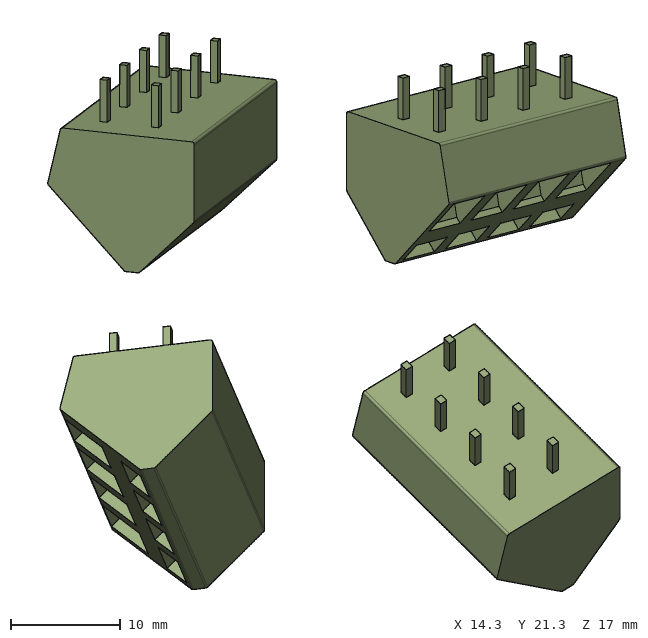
import cadquery as cq
import math

length = 21.32
body_height = 13.0
body_width = 14.26
nose_left = 7.5
nose_right = 8.87
side_lean = 13.2
edge_radius = 0.25
underside_angle = 45.0

pole_count = 4
pole_pitch = 5.07
first_pole_inset = 2.55
pole_positions = [length / 2 - first_pole_inset - i * pole_pitch for i in range(pole_count)]

pin_size_x = 0.7
pin_size_y = 0.8
pin_height = 3.99
pin_columns = (4.26, 9.25)

pocket_width = 3.7
pocket_depth = 2.8
wire_low, wire_high = 0.36, 2.17
release_low, release_high = 3.95, 7.38
ledge_rise = 0.45
lever_top = 6.33

lean_slope = math.tan(math.radians(side_lean))


def mouth_point(height):
    """Point of the left underside at a height, in X and Z."""
    return (nose_left - height, height)


def floor_point(height):
    """Point of the pocket floor straight in from the mouth at a height."""
    x, z = mouth_point(height)
    step = pocket_depth * math.sin(math.radians(underside_angle))
    return (x + step, z + step)


def prism(points, width, y_center):
    """Prism of an XZ outline, centred on a Y position."""
    sketch = cq.Workplane("XZ", origin=(0, y_center, 0)).polyline(points).close()
    return sketch.extrude(width / 2, both=True)


def make_body():
    half_turn = math.radians(side_lean + underside_angle) / 2
    bisector_tilt = math.radians(underside_angle - side_lean) / 2
    arc_center_to_corner = edge_radius / math.cos(half_turn)
    corner_x = edge_radius - arc_center_to_corner * math.cos(bisector_tilt)
    corner_z = nose_left - corner_x
    outline = [
        (corner_x, corner_z),
        (nose_left, 0),
        (nose_right, 0),
        (body_width, body_width - nose_right),
        (body_width, body_height),
        (corner_x + (body_height - corner_z) * lean_slope, body_height),
    ]
    return prism(outline, length, 0).edges("|Y").fillet(edge_radius)


def make_wire_pocket(y):
    outline = [
        mouth_point(wire_low),
        floor_point(wire_low),
        floor_point(wire_high),
        mouth_point(wire_high),
    ]
    return prism(outline, pocket_width, y)


def make_release_pocket(y):
    low_x, low_z = mouth_point(release_low)
    ledge_x, ledge_z = low_x + ledge_rise, low_z + ledge_rise
    lever_x = ledge_x + (lever_top - ledge_z) * lean_slope
    floor_x, floor_z = floor_point(release_low)
    climb = (floor_x + floor_z - lever_x - lever_top) / 2
    outline = [
        (low_x, low_z),
        (ledge_x, ledge_z),
        (lever_x, lever_top),
        (lever_x + climb, lever_top + climb),
        floor_point(release_high),
        mouth_point(release_high),
    ]
    return prism(outline, pocket_width, y)


def make_pin(x, y):
    base = cq.Workplane("XY", origin=(x, y, body_height))
    return base.rect(pin_size_x, pin_size_y).extrude(pin_height)


result = make_body()
for pole_y in pole_positions:
    result = result.cut(make_wire_pocket(pole_y))
    result = result.cut(make_release_pocket(pole_y))
    for pin_x in pin_columns:
        result = result.union(make_pin(pin_x, pole_y))